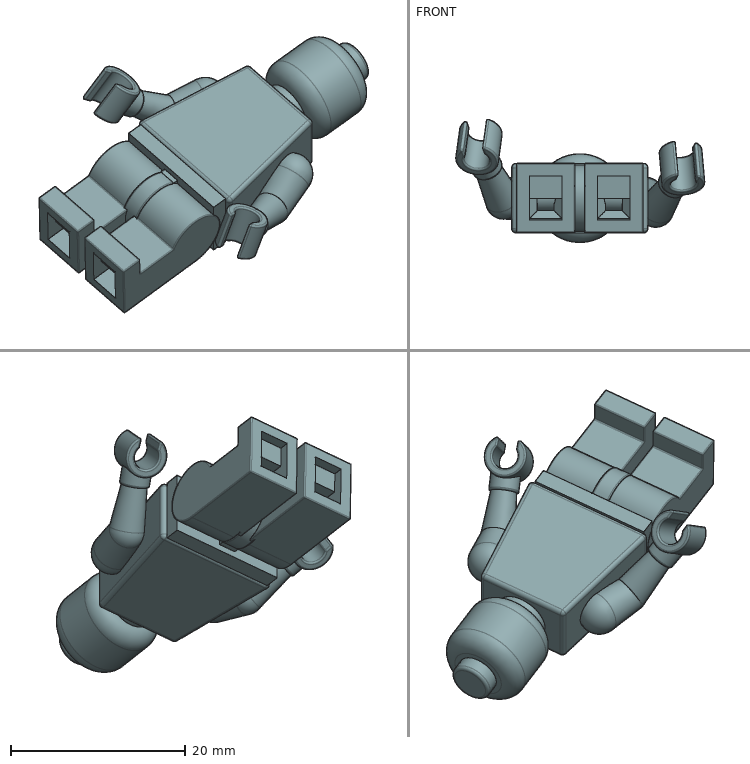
import cadquery as cq
import math


SOLE_Y = 0.07
HIP_AXIS_Y = 11.15
HIP_PLATE_BOTTOM = 13.93
TORSO_BOTTOM = 15.8
TORSO_TOP = 30.9
HEAD_BOTTOM = 32.05
HEAD_TOP = 40.68
STUD_TOP = 42.45

HEAD_RADIUS = 5.1
HEAD_FILLET = 2.0
STUD_RADIUS = 2.44
STUD_FILLET = 0.4

BODY_DEPTH = 8.0
TORSO_TOP_WIDTH = 11.12
TORSO_BOTTOM_WIDTH = 15.8
TORSO_FILLET = 0.5
NECK_RADIUS = 3.1

HIP_WIDTH = 14.52
HIP_DISC_RADIUS = 3.82
HIP_DISC_WIDTH = 2.2
HIP_DISC_FILLET = 0.15
HIP_WEB_DEPTH = 6.3
AXLE_RADIUS = 1.507
AXLE_REACH = 4.93

LEG_INNER_X = 0.55
LEG_OUTER_X = HIP_WIDTH / 2
LEG_CENTER_X = (LEG_INNER_X + LEG_OUTER_X) / 2
LEG_WIDTH = LEG_OUTER_X - LEG_INNER_X
LEG_FILLET = 0.13
THIGH_RADIUS = 3.758
SHIN_FRONT_Z = 1.53
TOE_FRONT_Z = 4.15
FOOT_LENGTH = 2.65
LEG_SWING = 1.0
POCKET_WIDTH = 3.7
POCKET_FRONT_Z = 2.7
POCKET_MIDDLE_Z = 0.13
POCKET_BACK_Z = -2.3
TOE_POCKET_DEPTH = 1.25
SHIN_POCKET_DEPTH = 8.9
THROAT_INSET = 0.9

SHOULDER_X = 7.365
SHOULDER_Y = 25.9
SHOULDER_RADIUS = 2.44
ELBOW = cq.Vector(0.7, -4.5, -0.35)
ELBOW_RADIUS = 2.1
WRIST = cq.Vector(1.85, -8.55, 3.3)
FOREARM_END_RADIUS = 1.507
RIGHT_ARM_SWING = 12.0

GRIP_CENTER = cq.Vector(-0.15, -0.15, 3.82)
GRIP_RADIUS = 2.45
GRIP_BORE_RADIUS = 1.5
GRIP_LENGTH = 4.6
GRIP_OPENING = 2.3
GRIP_FILLET = 0.2
GRIP_TILT = 4.0
WRIST_RADIUS = 1.75
WRIST_FILLET = WRIST_RADIUS - FOREARM_END_RADIUS

SIDE_SLOPE = (TORSO_BOTTOM_WIDTH - TORSO_TOP_WIDTH) / 2 / (TORSO_TOP - TORSO_BOTTOM)
SIDE_ANGLE = math.degrees(math.atan(SIDE_SLOPE))
FOREARM_DIRECTION = (WRIST - ELBOW).normalized()


def cylinder_along_y(radius, bottom, top):
    return cq.Workplane("XZ", origin=(0, bottom, 0)).circle(radius).extrude(bottom - top)


def cylinder_along_x(radius, start, end, y=HIP_AXIS_Y):
    return cq.Workplane("YZ", origin=(start, y, 0)).circle(radius).extrude(end - start)


def make_head():
    skull = cylinder_along_y(HEAD_RADIUS, HEAD_BOTTOM, HEAD_TOP).edges().fillet(HEAD_FILLET)
    stud = cylinder_along_y(STUD_RADIUS, HEAD_BOTTOM, STUD_TOP).faces(">Y").edges().fillet(STUD_FILLET)
    return skull.union(stud)


def make_torso():
    outline = [
        (-TORSO_BOTTOM_WIDTH / 2, TORSO_BOTTOM),
        (TORSO_BOTTOM_WIDTH / 2, TORSO_BOTTOM),
        (TORSO_TOP_WIDTH / 2, TORSO_TOP),
        (-TORSO_TOP_WIDTH / 2, TORSO_TOP),
    ]
    trunk = cq.Workplane("XY").polyline(outline).close().extrude(BODY_DEPTH / 2, both=True)
    trunk = trunk.edges().fillet(TORSO_FILLET)
    return trunk.union(cylinder_along_y(NECK_RADIUS, TORSO_BOTTOM + TORSO_FILLET, HEAD_BOTTOM))


def make_hip():
    plate_height = TORSO_BOTTOM - HIP_PLATE_BOTTOM
    plate = cq.Workplane("XY").box(HIP_WIDTH, plate_height, BODY_DEPTH)
    plate = plate.translate((0, HIP_PLATE_BOTTOM + plate_height / 2, 0))
    plate = plate.cut(cylinder_along_x(THIGH_RADIUS, -HIP_WIDTH / 2, HIP_WIDTH / 2))
    disc = cylinder_along_x(HIP_DISC_RADIUS, -HIP_DISC_WIDTH / 2, HIP_DISC_WIDTH / 2)
    disc = disc.edges().fillet(HIP_DISC_FILLET)
    web_height = TORSO_BOTTOM - HIP_AXIS_Y
    web = cq.Workplane("XY").box(HIP_DISC_WIDTH, web_height, HIP_WEB_DEPTH)
    web = web.translate((0, HIP_AXIS_Y + web_height / 2, 0))
    axle = cylinder_along_x(AXLE_RADIUS, -AXLE_REACH, AXLE_REACH)
    return plate.union(disc).union(web).union(axle)


def pocket_box(near_y, far_y, front_z, back_z, width):
    box = cq.Workplane("XY").box(width, far_y - near_y, front_z - back_z, centered=(True, False, False))
    return box.translate((LEG_CENTER_X, near_y, back_z))


def make_leg_pockets():
    toe = pocket_box(0, TOE_POCKET_DEPTH, POCKET_FRONT_Z, POCKET_MIDDLE_Z, POCKET_WIDTH)
    shin = pocket_box(0, SHIN_POCKET_DEPTH, POCKET_MIDDLE_Z, POCKET_BACK_Z, POCKET_WIDTH)
    throat_width = POCKET_WIDTH - 2 * THROAT_INSET
    throat_back_z = POCKET_BACK_Z + THROAT_INSET
    throat = pocket_box(SHIN_POCKET_DEPTH, HIP_AXIS_Y, POCKET_MIDDLE_Z, throat_back_z, throat_width)
    funnel = (
        cq.Workplane("XZ", origin=(LEG_CENTER_X, SHIN_POCKET_DEPTH, 0))
        .center(0, (POCKET_MIDDLE_Z + POCKET_BACK_Z) / 2)
        .rect(POCKET_WIDTH, POCKET_MIDDLE_Z - POCKET_BACK_Z)
        .workplane(offset=-THROAT_INSET)
        .center(0, THROAT_INSET / 2)
        .rect(throat_width, POCKET_MIDDLE_Z - throat_back_z)
        .loft(ruled=True)
    )
    return toe.union(shin).union(funnel).union(throat)


def make_right_leg():
    shin = (
        cq.Workplane("YZ", origin=(LEG_INNER_X, 0, 0))
        .moveTo(SOLE_Y, -THIGH_RADIUS)
        .lineTo(HIP_AXIS_Y, -THIGH_RADIUS)
        .lineTo(HIP_AXIS_Y, SHIN_FRONT_Z)
        .lineTo(FOOT_LENGTH, SHIN_FRONT_Z)
        .lineTo(FOOT_LENGTH, TOE_FRONT_Z)
        .lineTo(SOLE_Y, TOE_FRONT_Z)
        .close()
        .extrude(LEG_WIDTH)
    )
    leg = shin.union(cylinder_along_x(THIGH_RADIUS, LEG_INNER_X, LEG_OUTER_X)).edges().fillet(LEG_FILLET)
    leg = leg.cut(cylinder_along_x(HIP_DISC_RADIUS, 0, HIP_DISC_WIDTH / 2))
    leg = leg.cut(cylinder_along_x(AXLE_RADIUS, 0, AXLE_REACH))
    leg = leg.cut(make_leg_pockets())
    return leg.rotate((0, HIP_AXIS_Y, 0), (1, HIP_AXIS_Y, 0), LEG_SWING)


def cone_between(start, end, start_radius, end_radius):
    axis = end - start
    return cq.Workplane(cq.Solid.makeCone(start_radius, end_radius, axis.Length, start, axis))


def make_arm():
    origin = cq.Vector(0, 0, 0)
    shoulder = cq.Workplane("XY").sphere(SHOULDER_RADIUS)
    elbow = cq.Workplane("XY").sphere(ELBOW_RADIUS).translate(ELBOW)
    upper_arm = cone_between(origin, ELBOW, SHOULDER_RADIUS, ELBOW_RADIUS)
    forearm = cone_between(ELBOW, WRIST, ELBOW_RADIUS, FOREARM_END_RADIUS)
    arm = shoulder.union(upper_arm).union(elbow).union(forearm)
    side_x = TORSO_TOP_WIDTH / 2 + (TORSO_TOP - SHOULDER_Y) * SIDE_SLOPE
    flat_x = (side_x - SHOULDER_X) * math.cos(math.radians(SIDE_ANGLE))
    torso_space = cq.Workplane("XY").box(STUD_TOP, STUD_TOP, STUD_TOP)
    torso_space = torso_space.translate((flat_x - STUD_TOP / 2, 0, 0))
    return arm.cut(torso_space)


def make_hand():
    grip = (
        cq.Workplane("YZ")
        .circle(GRIP_RADIUS)
        .circle(GRIP_BORE_RADIUS)
        .extrude(GRIP_LENGTH / 2, both=True)
    )
    slot = cq.Workplane("XY").box(GRIP_LENGTH, GRIP_OPENING, GRIP_RADIUS, centered=(True, True, False))
    grip = grip.cut(slot).edges().fillet(GRIP_FILLET)
    grip = grip.rotate((0, 0, 0), (1, 0, 0), GRIP_TILT).translate(GRIP_CENTER)
    wrist_length = GRIP_CENTER.z - GRIP_BORE_RADIUS - GRIP_FILLET
    wrist = cq.Workplane("XY").circle(WRIST_RADIUS).extrude(wrist_length)
    wrist = wrist.faces("<Z").edges().fillet(WRIST_FILLET)
    hand = grip.union(wrist)
    grip_axis = cq.Vector(1, 0, 0).cross(FOREARM_DIRECTION)
    hand_frame = cq.Plane(origin=WRIST, xDir=grip_axis, normal=FOREARM_DIRECTION)
    return cq.Workplane(hand.val().moved(cq.Location(hand_frame)))


def at_right_shoulder(limb, swing):
    limb = limb.rotate((0, 0, 0), (1, 0, 0), swing)
    limb = limb.rotate((0, 0, 0), (0, 0, 1), SIDE_ANGLE)
    return limb.translate((SHOULDER_X, SHOULDER_Y, 0))


head = make_head()
torso = make_torso()
hip = make_hip()
right_leg = make_right_leg()
legs = [right_leg, right_leg.mirror("YZ")]

arms = []
hands = []
for swing, is_left in ((RIGHT_ARM_SWING, False), (0, True)):
    arm = at_right_shoulder(make_arm(), swing)
    hand = at_right_shoulder(make_hand(), swing)
    arms.append(arm.mirror("YZ") if is_left else arm)
    hands.append(hand.mirror("YZ") if is_left else hand)

bodies = [head, torso, hip] + legs + arms + hands
result = cq.Compound.makeCompound([body.val() for body in bodies])